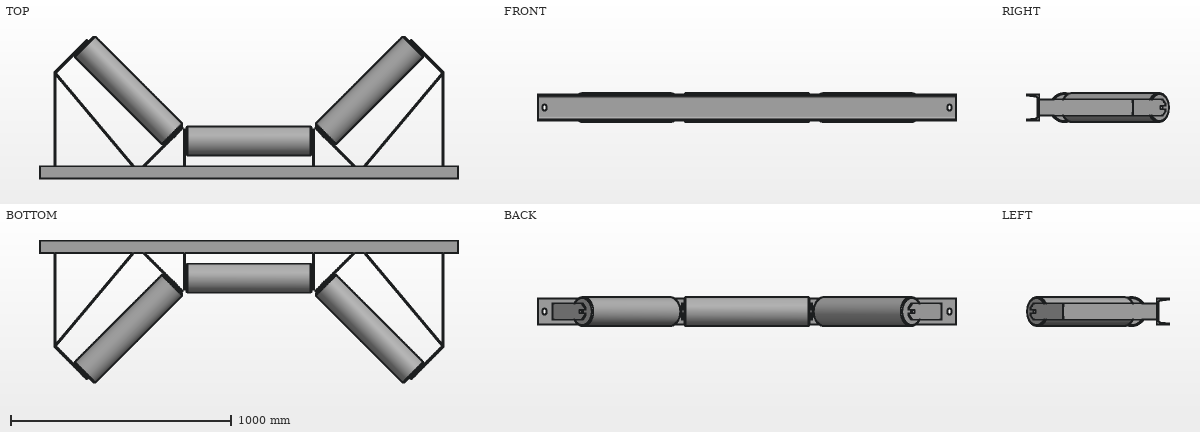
import cadquery as cq
import math

beam_length = 1900
beam_height = 120.0
beam_depth = 57.0
web_thickness = 10.0
flange_tip_thickness = 5.0
flange_root_thickness = 11.0
flange_root_radius = 8.0
mount_slot_width = 17.0
mount_slot_height = 27.0
mount_slot_inset = 30.0

roller_diameter = 133.0
roller_length = 570.0
roller_chamfer = 5.0
shaft_diameter = 17.0
plate_gap = 4.0
centre_axis_y = 114.0
wing_angle = 45
wing_centre_x = 547.0
wing_centre_y = 344.0

strip_thickness = 8.0
strip_width = 75.0
light_strip_thickness = 5.0
light_strip_width = 50.0
tip_chamfer = 20.0
outer_tip_reach = 28.0
inner_tip_reach = 53.0
outer_post_x = 882.0
brace_foot_x = 526.0

wing_cos = math.cos(math.radians(wing_angle))
wing_sin = math.sin(math.radians(wing_angle))
plate_offset = roller_length / 2 + plate_gap + strip_thickness / 2
shaft_length = 2 * plate_offset + strip_thickness


def along_wing(along, above):
    """Point on the right wing: distance along its axis, and distance above it."""
    return (
        wing_centre_x + along * wing_cos - above * wing_sin,
        wing_centre_y + along * wing_sin + above * wing_cos,
    )


def make_beam():
    half_height = beam_height / 2
    root_z = half_height - flange_root_thickness
    tip_z = half_height - flange_tip_thickness
    profile = [
        (0, -half_height),
        (0, half_height),
        (-beam_depth, half_height),
        (-beam_depth, tip_z),
        (-web_thickness, root_z),
        (-web_thickness, -root_z),
        (-beam_depth, -tip_z),
        (-beam_depth, -half_height),
    ]
    beam = cq.Workplane("YZ").polyline(profile).close().extrude(beam_length / 2, both=True)
    inner_corners = cq.selectors.BoxSelector(
        (-beam_length, -2 * web_thickness, -half_height),
        (beam_length, -web_thickness / 2, half_height),
    )
    beam = beam.edges("|X").edges(inner_corners).fillet(flange_root_radius)
    slot_x = beam_length / 2 - mount_slot_inset
    slots = (
        cq.Workplane("XZ")
        .pushPoints([(-slot_x, 0), (slot_x, 0)])
        .slot2D(mount_slot_height, mount_slot_width, angle=90)
        .extrude(beam_depth, both=True)
    )
    return beam.cut(slots)


def strip_to_beam(top, foot_x, thickness=strip_thickness, width=strip_width):
    """Upright strip from a top point down to the beam, its foot cut flush with the web."""
    run, rise = top[0] - foot_x, top[1]
    length = math.hypot(run, rise)
    side_x = thickness / 2 * rise / length
    side_y = thickness / 2 * run / length
    foot_half = thickness / 2 * length / rise
    outline = [
        (foot_x - foot_half, 0),
        (foot_x + foot_half, 0),
        (top[0] + side_x, top[1] - side_y),
        (top[0] - side_x, top[1] + side_y),
    ]
    return cq.Workplane("XY").polyline(outline).close().extrude(width / 2, both=True)


def place_on_wing(body):
    """Move a body built along X about the origin onto the right wing."""
    turned = body.rotate((0, 0, 0), (0, 0, 1), wing_angle)
    return turned.translate((wing_centre_x, wing_centre_y, 0))


def shaft_slot(tip_reach):
    """Cutter for an open-topped shaft slot, about a shaft axis along X at the origin."""
    seat = cq.Workplane("YZ", origin=(-strip_thickness, 0, 0)).circle(shaft_diameter / 2)
    seat = seat.extrude(2 * strip_thickness)
    mouth = cq.Workplane("XY").box(
        2 * strip_thickness, tip_reach, shaft_diameter, centered=(True, False, True)
    )
    return seat.union(mouth)


def make_outer_plate(bottom):
    """Square strip across the outer wing end, from `bottom` up to its chamfered, slotted tip."""
    plate = (
        cq.Workplane("XY")
        .box(strip_thickness, outer_tip_reach - bottom, strip_width)
        .translate((0, (outer_tip_reach + bottom) / 2, 0))
        .edges("|X and >Y")
        .chamfer(tip_chamfer)
        .cut(shaft_slot(outer_tip_reach))
    )
    return place_on_wing(plate.translate((plate_offset, 0, 0)))


def make_bracket():
    """All strips on the right half of the frame."""
    upper = along_wing(plate_offset, 0)
    lower = along_wing(-plate_offset, 0)

    corner_drop = (outer_post_x - upper[0]) / wing_sin
    corner = along_wing(plate_offset, -corner_drop)
    outer_post = strip_to_beam((outer_post_x, corner[1]), outer_post_x)
    outer_plate = make_outer_plate(-corner_drop)
    brace = strip_to_beam(corner, brace_foot_x, light_strip_thickness, light_strip_width)

    inner_foot_x = lower[0] + lower[1] * wing_sin / wing_cos
    inner_tip = along_wing(-plate_offset, inner_tip_reach)
    inner_plate = strip_to_beam(inner_tip, inner_foot_x, light_strip_thickness, light_strip_width)
    wing_slot = place_on_wing(shaft_slot(inner_tip_reach).translate((-plate_offset, 0, 0)))
    inner_plate = inner_plate.cut(wing_slot)

    post_slot = shaft_slot(inner_tip_reach).translate((plate_offset, centre_axis_y, 0))
    inner_post = strip_to_beam((plate_offset, centre_axis_y + inner_tip_reach), plate_offset)
    inner_post = inner_post.cut(post_slot)
    return outer_post.union(outer_plate).union(brace).union(inner_plate).union(inner_post)


def make_roller():
    return (
        cq.Workplane("YZ", origin=(-roller_length / 2, 0, 0))
        .circle(roller_diameter / 2)
        .extrude(roller_length)
        .faces("<X or >X")
        .chamfer(roller_chamfer)
        .cut(make_shaft())
    )


def make_shaft():
    start = (-shaft_length / 2, 0, 0)
    return cq.Workplane("YZ", origin=start).circle(shaft_diameter / 2).extrude(shaft_length)


def at_all_stations(body):
    """Copies of a body at the centre, right wing and left wing."""
    centre = body.translate((0, centre_axis_y, 0))
    right = place_on_wing(body)
    return [centre, right, right.mirror("YZ")]


bracket = make_bracket()
frame = make_beam().union(bracket).union(bracket.mirror("YZ"))
rollers = at_all_stations(make_roller())
shafts = at_all_stations(make_shaft())

result = cq.Compound.makeCompound([body.val() for body in [frame, *rollers, *shafts]])